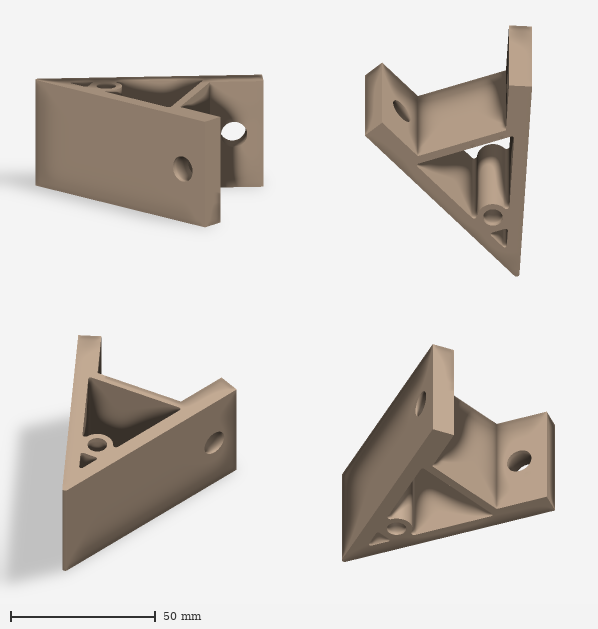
import cadquery as cq
import math

overall_length = 78.6
height = 38.0
arm_angle = 45.0
arm_thickness = 8.0
wall_thickness = 5.0
apex_radius = 1.0
free_length = 18.55
strut_thickness = 3.0
pocket_radius = 0.8
bolt_diameter = 9.0
bolt_from_end = 10.2
pin_diameter = 6.75
pin_distance = 27.4
boss_radius = 5.5
boss_fillet = 1.0
web_distance = 21.6

half_angle = math.radians(arm_angle / 2)
apex_trim = apex_radius * (1 / math.tan(half_angle) - 1)
arm_length = overall_length + apex_trim
inner_end = arm_length - free_length
strut_distance = inner_end * math.cos(half_angle) + arm_thickness * math.sin(half_angle)


def bisector_point(distance):
    return cq.Vector(distance * math.cos(half_angle), distance * math.sin(half_angle), 0)


def mirrored(point):
    """Reflect a point across the bisector of the two arms."""
    return bisector_point(2 * point.dot(bisector_point(1))) - point


def wall_point(distance):
    """Point on the lower arm's pocket wall, at a distance measured along the bisector."""
    x = (distance - wall_thickness * math.sin(half_angle)) / math.cos(half_angle)
    return cq.Vector(x, wall_thickness, 0)


def bracket_body():
    lower = [
        cq.Vector(arm_length, 0, 0),
        cq.Vector(arm_length, arm_thickness, 0),
        cq.Vector(inner_end, arm_thickness, 0),
    ]
    upper = [mirrored(point) for point in reversed(lower)]
    outline = cq.Workplane("XY").polyline([cq.Vector(0, 0, 0)] + lower + upper).close()
    return outline.extrude(height).edges("|Z and <X").fillet(apex_radius)


def small_pocket():
    """Rounded triangle between the arm walls, closed by a face square to the bisector."""
    corner = bisector_point(wall_thickness / math.sin(half_angle))
    far = wall_point(web_distance)
    outline = cq.Workplane("XY").polyline([corner, far, mirrored(far)]).close()
    return outline.extrude(height).edges("|Z").fillet(pocket_radius)


def large_pocket():
    """Pocket from the boss to the strut, symmetric about the bisector."""
    pin = bisector_point(pin_distance)

    center_y = wall_thickness + boss_fillet
    reach = boss_radius + boss_fillet
    center = cq.Vector(pin.x + math.sqrt(reach**2 - (pin.y - center_y) ** 2), center_y, 0)
    toward_boss = (pin - center).normalized()
    toward_wall = cq.Vector(0, -1, 0)
    on_boss = center + toward_boss * boss_fillet
    on_arc = center + (toward_boss + toward_wall).normalized() * boss_fillet
    on_wall = center + toward_wall * boss_fillet

    far = wall_point(strut_distance - strut_thickness)
    outline = (
        cq.Workplane("XY")
        .moveTo(on_boss.x, on_boss.y)
        .threePointArc(on_arc, on_wall)
        .lineTo(far.x, far.y)
        .lineTo(mirrored(far).x, mirrored(far).y)
        .lineTo(mirrored(on_wall).x, mirrored(on_wall).y)
        .threePointArc(mirrored(on_arc), mirrored(on_boss))
        .threePointArc(bisector_point(pin_distance + boss_radius), on_boss)
        .close()
    )
    strut_corners = outline.extrude(height).edges("|Z and (>X or >Y)")
    return strut_corners.fillet(pocket_radius)


def pin_hole():
    pin = bisector_point(pin_distance)
    return cq.Workplane("XY").center(pin.x, pin.y).circle(pin_diameter / 2).extrude(height)


def bolt_holes():
    """One hole square through each arm, at mid-height."""
    lower_hole = (
        cq.Workplane("XZ")
        .center(arm_length - bolt_from_end, height / 2)
        .circle(bolt_diameter / 2)
        .extrude(-arm_thickness)
    )
    axis_start = cq.Vector(0, 0, height / 2)
    axis_end = axis_start + bisector_point(0.8)
    return [lower_hole, lower_hole.rotate(axis_start, axis_end, 180)]


result = bracket_body()
for cutter in [small_pocket(), large_pocket(), pin_hole()] + bolt_holes():
    result = result.cut(cutter)